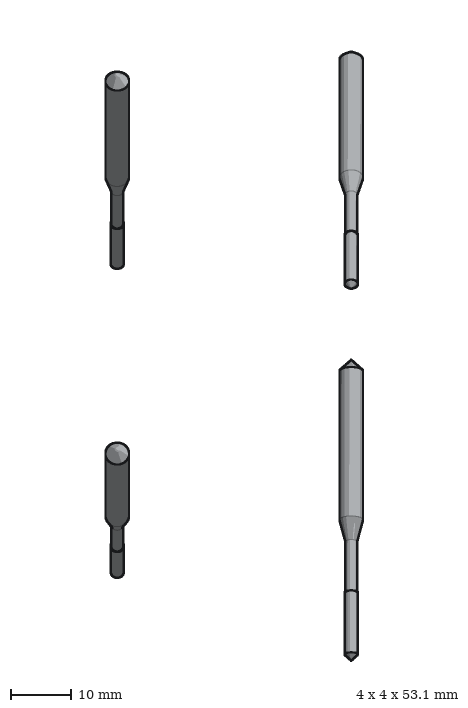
import cadquery as cq

total_length = 53.1
flute_top = 12.05
neck_top = 21.05
taper_top = 24.85

shank_diameter = 4.0
drill_diameter = 2.25
neck_diameter = 2.0

shank_radius = shank_diameter / 2
drill_radius = drill_diameter / 2
neck_radius = neck_diameter / 2

tip_height = drill_radius
shank_cone_height = shank_radius

profile = [
    (0, 0),
    (drill_radius, tip_height),
    (drill_radius, flute_top),
    (neck_radius, flute_top),
    (neck_radius, neck_top),
    (shank_radius, taper_top),
    (shank_radius, total_length - shank_cone_height),
    (0, total_length),
]

result = cq.Workplane("XZ").polyline(profile).close().revolve(360, (0, 0), (0, 1))